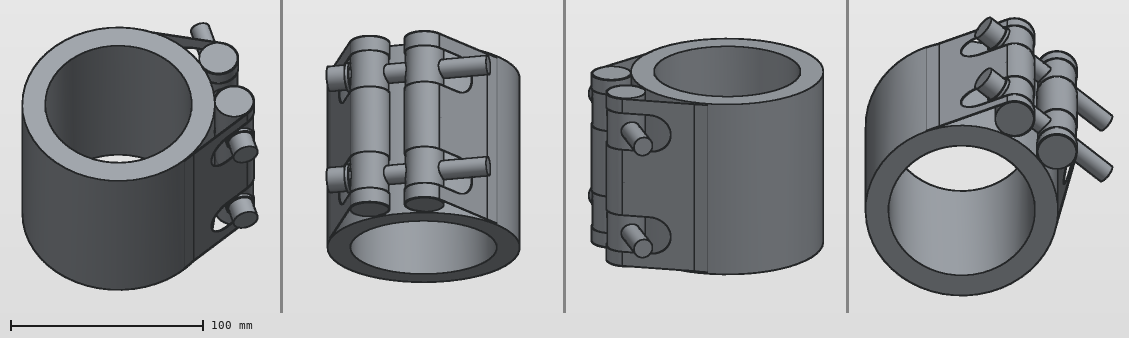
import cadquery as cq
import math

sleeve_diameter = 100.0
bore_diameter = 76.1
sleeve_height = 94.0
sleeve_radius = sleeve_diameter / 2

strap_thickness = 0.5
strap_height = 92.2

pin_diameter = 20.0
pin_height = 93.1
pin_radius = pin_diameter / 2
wrap_radius = pin_radius + strap_thickness
pin_x = 14.66
overall_depth = 118.7
pin_y = overall_depth - sleeve_radius - wrap_radius

bolt_spacing = 56.4
bolt_diameter = 10.0
bolt_start_x = -48.7
washer_diameter = 15.0
washer_thickness = 1.9
head_diameter = 13.0
head_length = 9.7
washer_x = pin_x + pin_radius
head_x = washer_x + washer_thickness
window_width = 20.2
window_length = 23.7
window_radius = window_width / 2
strap_span_x = sleeve_diameter

pin_distance = math.hypot(pin_x, pin_y)
pin_angle = math.atan2(pin_y, pin_x)
tangent_angle = pin_angle - math.acos((sleeve_radius - wrap_radius) / pin_distance)


def cylinder_z(diameter, height, x=0, y=0):
    """Upright cylinder centred on Z = 0."""
    return cq.Workplane("XY").center(x, y).circle(diameter / 2).extrude(height / 2, both=True)


def rod_x(diameter, start_x, length, z):
    """Cylinder along +X at the height of a bolt axis."""
    return cq.Workplane("YZ", origin=(start_x, pin_y, z)).circle(diameter / 2).extrude(length)


def sleeve_point(angle, radius):
    return (radius * math.cos(angle), radius * math.sin(angle))


def pin_point(angle, radius):
    return (pin_x + radius * math.cos(angle), pin_y + radius * math.sin(angle))


def make_right_strap():
    """Straight flap from the sleeve, then a wrap over the pin back to the sleeve."""
    inner_sleeve_radius = sleeve_radius - strap_thickness
    wrap_end = pin_angle + math.pi
    wrap_middle = (tangent_angle + wrap_end) / 2
    return (
        cq.Workplane("XY")
        .moveTo(*sleeve_point(tangent_angle, sleeve_radius))
        .lineTo(*pin_point(tangent_angle, wrap_radius))
        .threePointArc(pin_point(wrap_middle, wrap_radius), pin_point(wrap_end, wrap_radius))
        .lineTo(*pin_point(wrap_end, pin_radius))
        .threePointArc(pin_point(wrap_middle, pin_radius), pin_point(tangent_angle, pin_radius))
        .lineTo(*sleeve_point(tangent_angle, inner_sleeve_radius))
        .close()
        .extrude(strap_height / 2, both=True)
    )


def make_window(z):
    """Cutter for a strap window: a half-round lower end, open past the pins."""
    base = cq.Workplane("YZ", origin=(0, sleeve_radius, z))
    round_end = base.circle(window_radius).extrude(strap_span_x / 2, both=True)
    slot = (
        base.center(window_length / 2, 0)
        .rect(window_length, window_width)
        .extrude(strap_span_x / 2, both=True)
    )
    return round_end.union(slot)


def make_bolt(z):
    shank = rod_x(bolt_diameter, bolt_start_x, head_x - bolt_start_x, z)
    washer = rod_x(washer_diameter, washer_x, washer_thickness, z)
    head = rod_x(head_diameter, head_x, head_length, z)
    return shank.union(washer).union(head)


bolt_heights = (-bolt_spacing / 2, bolt_spacing / 2)

right_strap = make_right_strap()
strap = right_strap.union(right_strap.mirror("YZ"))
for bolt_z in bolt_heights:
    strap = strap.cut(make_window(bolt_z))

result = cylinder_z(sleeve_diameter, sleeve_height).union(strap)
for side in (-1, 1):
    result = result.union(cylinder_z(pin_diameter, pin_height, side * pin_x, pin_y))
for bolt_z in bolt_heights:
    result = result.union(make_bolt(bolt_z))
result = result.cut(cylinder_z(bore_diameter, sleeve_height))